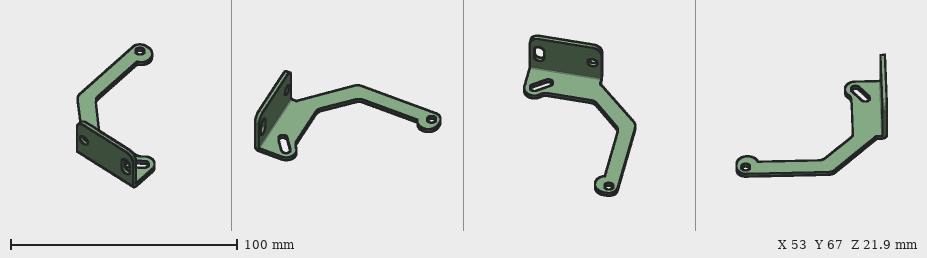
import cadquery as cq
import math

total_width = 53.0
total_depth = 67.0
total_height = 21.9
thickness = 2.0
inner_bend_radius = 0.4
outer_bend_radius = inner_bend_radius + thickness
corner_radius = 4.0

arm_width = 7.05
outer_crank_y = 24.8
inner_crank_y = 28.95
base_back_y = 15.1
inner_base_x = arm_width + inner_crank_y - base_back_y
pivot_hole_diameter = 4.0
eye_radius = 4.9
eye_right_x = 10.4

ear_radius = 4.55
ear_x = total_width - ear_radius
ear_y = 13.25
ear_slot_width = 4.0
ear_slot_start = (43.1, 9.0)
ear_slot_end = (48.5, 13.1)

flange_left_x = 20.65
outer_base_y = 4.6
flange_hole_diameter = 4.55
flange_hole_x = flange_left_x + 4.0
flange_hole_spacing = 24.1
flange_hole_z = 11.9
flange_slot_length = 9.0


def point_on_circle(center, radius, degrees):
    angle = math.radians(degrees)
    return (center[0] + radius * math.cos(angle), center[1] + radius * math.sin(angle))


def make_arm():
    """Flat cranked arm with an eye at its tip and an ear at its base."""
    eye = (eye_right_x - eye_radius, total_depth - eye_radius)
    eye_end_angle = -math.degrees(math.acos((arm_width - eye[0]) / eye_radius))
    eye_end = point_on_circle(eye, eye_radius, eye_end_angle)

    ear = (ear_x, ear_y)
    blend_y = base_back_y + corner_radius
    blend_rise = blend_y - ear_y
    blend_x = ear_x - math.sqrt((ear_radius + corner_radius) ** 2 - blend_rise ** 2)
    blend = (blend_x, blend_y)
    ear_angle = math.degrees(math.atan2(blend_rise, blend_x - ear_x))
    blend_middle_angle = (ear_angle - 180 - 90) / 2

    arm = (
        cq.Workplane("XY")
        .moveTo(0, outer_crank_y)
        .lineTo(0, total_depth)
        .lineTo(eye[0], total_depth)
        .threePointArc(point_on_circle(eye, eye_radius, 0), eye_end)
        .lineTo(arm_width, inner_crank_y)
        .lineTo(inner_base_x, base_back_y)
        .lineTo(blend_x, base_back_y)
        .threePointArc(
            point_on_circle(blend, corner_radius, blend_middle_angle),
            point_on_circle(ear, ear_radius, ear_angle),
        )
        .threePointArc(point_on_circle(ear, ear_radius, ear_angle / 2), (total_width, ear_y))
        .lineTo(total_width, outer_bend_radius)
        .lineTo(flange_left_x, outer_bend_radius)
        .lineTo(flange_left_x, outer_base_y)
        .close()
        .extrude(thickness)
    )
    rounded_corners = [
        (0, outer_crank_y),
        (0, total_depth),
        (arm_width, inner_crank_y),
        (inner_base_x, base_back_y),
    ]
    for x, y in rounded_corners:
        arm = arm.edges(cq.selectors.NearestToPointSelector((x, y, thickness / 2))).fillet(corner_radius)
    return arm


def make_flange():
    """Upright flange and its bend, ending where the flat arm begins."""
    bend_center = (outer_bend_radius, outer_bend_radius)
    flange = (
        cq.Workplane("YZ", origin=(flange_left_x, 0, 0))
        .moveTo(outer_bend_radius, 0)
        .threePointArc(point_on_circle(bend_center, outer_bend_radius, 225), (0, outer_bend_radius))
        .lineTo(0, total_height)
        .lineTo(thickness, total_height)
        .lineTo(thickness, outer_bend_radius)
        .threePointArc(
            point_on_circle(bend_center, inner_bend_radius, 225),
            (outer_bend_radius, thickness),
        )
        .close()
        .extrude(total_width - flange_left_x)
    )
    return flange.edges("|Y and >Z").edges("<X or >X").fillet(corner_radius)


def make_arm_openings():
    """Pivot hole in the eye and slanted slot in the ear."""
    pivot_hole = (
        cq.Workplane("XY")
        .center(corner_radius, total_depth - corner_radius)
        .circle(pivot_hole_diameter / 2)
        .extrude(thickness)
    )
    run = ear_slot_end[0] - ear_slot_start[0]
    rise = ear_slot_end[1] - ear_slot_start[1]
    slot_length = math.hypot(run, rise) + ear_slot_width
    slot = (
        cq.Workplane("XY")
        .center(ear_slot_start[0] + run / 2, ear_slot_start[1] + rise / 2)
        .slot2D(slot_length, ear_slot_width, math.degrees(math.atan2(rise, run)))
        .extrude(thickness)
    )
    return pivot_hole.union(slot)


def make_flange_openings():
    """Round hole and upright slot through the flange."""
    hole = (
        cq.Workplane("XZ")
        .center(flange_hole_x, flange_hole_z)
        .circle(flange_hole_diameter / 2)
        .extrude(-thickness)
    )
    slot = (
        cq.Workplane("XZ")
        .center(flange_hole_x + flange_hole_spacing, flange_hole_z)
        .slot2D(flange_slot_length, flange_hole_diameter, 90)
        .extrude(-thickness)
    )
    return hole.union(slot)


bracket = make_arm().union(make_flange())
result = bracket.cut(make_arm_openings()).cut(make_flange_openings())